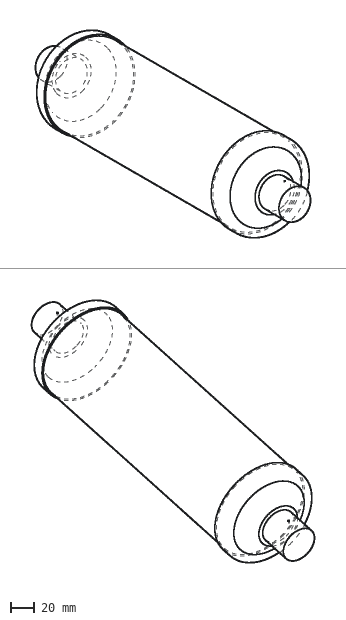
import cadquery as cq

total_length = 378.0
cap_diameter = 93.0
shell_diameter = 90.0
pipe_diameter = 32.5
pipe_length = 31.0
cone_small_diameter = 40.0
cone_rim_chamfer_length = 0.5
cone_rim_chamfer_width = 1.5
cone_large_diameter = 70.3
cone_length = 13.0
flare_diameter = 73.5
flare_length = 1.0
cap_length = 14.5
cap_edge_radius = 3.8
pin_hole_diameter = 1.0
pin_hole_depth = 2.0

pipe_end = total_length / 2
cone_start = pipe_end - pipe_length
cone_end = cone_start - cone_length
cap_face = cone_end - flare_length
cap_inner_end = cap_face - cap_length


def cylinder(diameter, half_length):
    """Cylinder along X, centred on the origin, built in one piece."""
    return cq.Workplane("YZ", origin=(-half_length, 0, 0)).circle(diameter / 2).extrude(2 * half_length)


def cap(side):
    """End cap with a rounded outer rim; side is +1 or -1 along X."""
    return (
        cq.Workplane("YZ", origin=(side * cap_inner_end, 0, 0))
        .circle(cap_diameter / 2)
        .extrude(side * cap_length)
        .faces(">X" if side > 0 else "<X")
        .edges()
        .fillet(cap_edge_radius)
    )


def cone(side):
    """Tapered neck with a chamfered rim and a short flare where it meets the cap."""
    return (
        cq.Workplane("XY")
        .moveTo(side * cap_face, 0)
        .lineTo(side * cap_face, flare_diameter / 2)
        .lineTo(side * cone_end, cone_large_diameter / 2)
        .lineTo(side * (cone_start - cone_rim_chamfer_length), cone_small_diameter / 2)
        .lineTo(side * cone_start, cone_small_diameter / 2 - cone_rim_chamfer_width)
        .lineTo(side * cone_start, 0)
        .close()
        .revolve(360, (0, 0, 0), (1, 0, 0))
    )


def pin_hole(side):
    """Cutter for the small blind hole in the top of a pipe, halfway along it."""
    hole_x = side * (pipe_end - pipe_length / 2)
    return (
        cq.Workplane("XY", origin=(hole_x, 0, pipe_diameter / 2 - pin_hole_depth))
        .circle(pin_hole_diameter / 2)
        .extrude(2 * pin_hole_depth)
    )


result = cylinder(shell_diameter, cap_inner_end).union(cylinder(pipe_diameter, pipe_end))
for end in (-1, 1):
    result = result.union(cap(end)).union(cone(end)).cut(pin_hole(end))